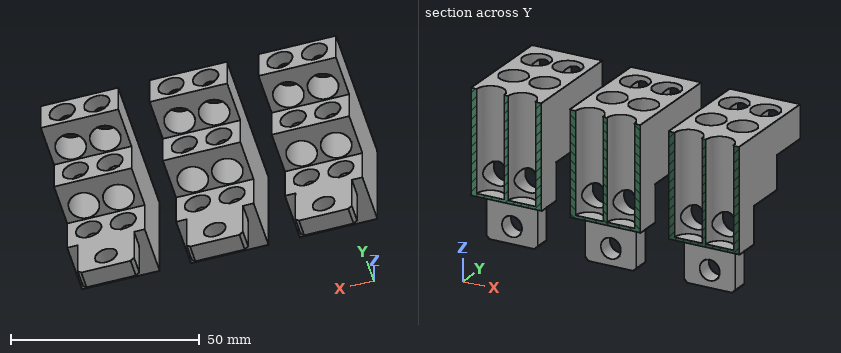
import cadquery as cq

OVERALL_LENGTH = 81.5
OVERALL_HEIGHT = 44.0
UNIT_COUNT = 3
BLOCK_WIDTH = 21.4
UNIT_PITCH = (OVERALL_LENGTH - BLOCK_WIDTH) / (UNIT_COUNT - 1)

BLOCK_DEPTH = 39.0
BLOCK_HEIGHT = 31.1
ROW_COUNT = 3
STEP_RUN = 12.5
STEP_RISE = 10.0
LOWEST_STEP_DEPTH = BLOCK_DEPTH - (ROW_COUNT - 1) * STEP_RUN

SOCKET_DIAMETER = 8.2
SOCKET_SPACING = 9.5
SOCKET_X_POSITIONS = [BLOCK_WIDTH / 2 + side * SOCKET_SPACING / 2 for side in (-1, 1)]
FRONT_ROW_Y = 6.0

WIRE_HOLE_DIAMETER = 7.0
WIRE_HOLE_DROP = STEP_RISE / 2

TAB_WIDTH = 15.6
TAB_THICKNESS = 5.0
TAB_HEIGHT = OVERALL_HEIGHT - BLOCK_HEIGHT
TAB_CHAMFER = 1.0
TAB_HOLE_DIAMETER = 6.0
TAB_HOLE_RISE = 5.05


def stepped_block():
    """Block whose underside steps up from front to rear."""
    profile = [(0, 0), (BLOCK_DEPTH, 0)]
    for step in range(1, ROW_COUNT):
        level = -step * STEP_RISE
        profile.append((BLOCK_DEPTH - (step - 1) * STEP_RUN, level))
        profile.append((BLOCK_DEPTH - step * STEP_RUN, level))
    profile += [(LOWEST_STEP_DEPTH, -BLOCK_HEIGHT), (0, -BLOCK_HEIGHT)]
    return cq.Workplane("YZ").polyline(profile).close().extrude(BLOCK_WIDTH)


def screw_sockets(row):
    """Sockets of one row; only the front row, in the taller step, ends blind."""
    depth = (ROW_COUNT - row) * STEP_RISE
    socket_y = FRONT_ROW_Y + row * STEP_RUN
    return (
        cq.Workplane("XY")
        .pushPoints([(x, socket_y) for x in SOCKET_X_POSITIONS])
        .circle(SOCKET_DIAMETER / 2)
        .extrude(-depth)
    )


def wire_holes(row):
    """Wire holes of one row, from the rear face of the step to the socket axes."""
    socket_y = FRONT_ROW_Y + row * STEP_RUN
    rear_y = LOWEST_STEP_DEPTH + row * STEP_RUN
    hole_z = -(ROW_COUNT - 1 - row) * STEP_RISE - WIRE_HOLE_DROP
    return (
        cq.Workplane("XZ", origin=(0, rear_y, 0))
        .pushPoints([(x, hole_z) for x in SOCKET_X_POSITIONS])
        .circle(WIRE_HOLE_DIAMETER / 2)
        .extrude(rear_y - socket_y)
    )


def terminal_tab():
    """Flat tab with chamfered lower corners and a cross hole."""
    tab_center_z = -BLOCK_HEIGHT - TAB_HEIGHT / 2
    plate = (
        cq.Workplane("XY")
        .box(TAB_WIDTH, TAB_THICKNESS, TAB_HEIGHT)
        .faces("<Z").edges("|Y").chamfer(TAB_CHAMFER)
        .translate((BLOCK_WIDTH / 2, LOWEST_STEP_DEPTH - TAB_THICKNESS / 2, tab_center_z))
    )
    hole = (
        cq.Workplane("XZ", origin=(0, LOWEST_STEP_DEPTH, 0))
        .center(BLOCK_WIDTH / 2, -OVERALL_HEIGHT + TAB_HOLE_RISE)
        .circle(TAB_HOLE_DIAMETER / 2)
        .extrude(TAB_THICKNESS)
    )
    return plate.cut(hole)


def terminal_unit():
    """One complete unit: block with sockets and wire holes, plus its tab."""
    unit = stepped_block()
    for row in range(ROW_COUNT):
        unit = unit.cut(screw_sockets(row)).cut(wire_holes(row))
    return unit.union(terminal_tab()).solids()


terminal_units = [
    terminal_unit().translate((index * UNIT_PITCH, 0, 0))
    for index in range(UNIT_COUNT)
]

result = cq.Compound.makeCompound([unit.val() for unit in terminal_units])